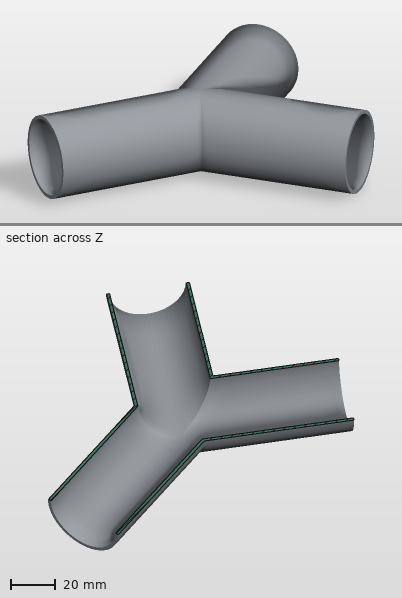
import cadquery as cq
import math

overall_length = 143.5
outer_diameter = 38.0
bore_diameter = 34.7
arm_angle = 45.0

tilt = math.radians(arm_angle)
end_corner_rise = outer_diameter / 2 * math.sin(tilt)
tube_length = (overall_length - end_corner_rise) / (1 + math.cos(tilt))

stem_direction = (0, -1, 0)
left_direction = (-math.sin(tilt), math.cos(tilt), 0)
right_direction = (math.sin(tilt), math.cos(tilt), 0)


def three_way_cylinders(diameter):
    """Join three cylinders of one diameter that start at the origin."""
    body = cq.Workplane("XY")
    for direction in (stem_direction, left_direction, right_direction):
        branch = cq.Solid.makeCylinder(
            diameter / 2, tube_length, cq.Vector(0, 0, 0), cq.Vector(*direction)
        )
        body = body.add(branch)
    return body.combine()


outer_body = three_way_cylinders(outer_diameter)
bores = three_way_cylinders(bore_diameter)
result = outer_body.cut(bores)